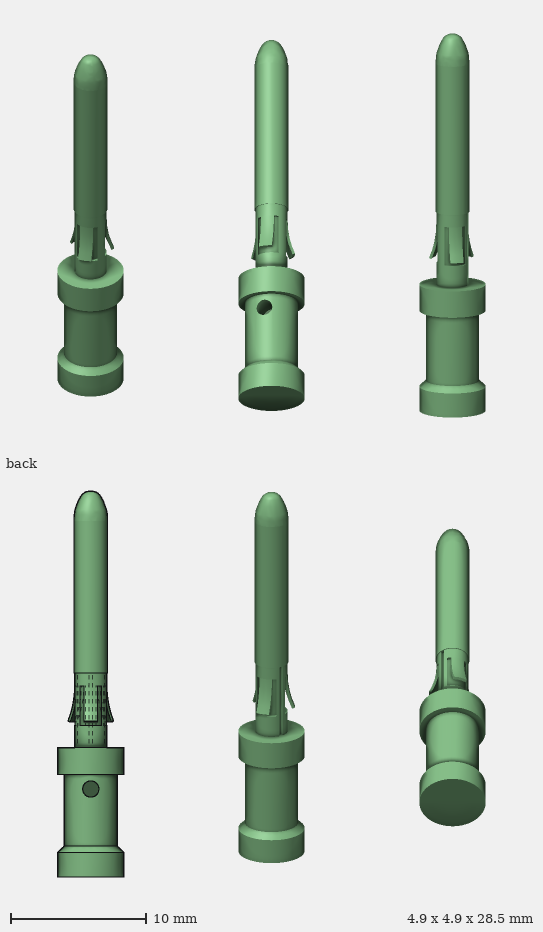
import cadquery as cq
import math

length = 28.5
collar_radius = 2.45
barrel_radius = 1.97
tip_radius = 1.25
foot_height = 1.82
foot_top = 2.28
flange_bottom = 7.55
flange_top = 9.55
shoulder_height = 15.05
nose_start = 26.28

inspection_diameter = 1.2
inspection_height = 6.5
inspection_depth = barrel_radius

sleeve_radius = 1.2
sleeve_wall = 0.2
neck_radius = sleeve_radius - sleeve_wall
slit_width = 0.28

lance_angles = (90, 210, 330)
lance_width = 1.0
lance_tip_height = 11.5
lance_tip_radius = 1.75
window_width = 1.57
window_bottom = 11.17
window_top = 14.1
bend_depth = window_top - lance_tip_height
bend_reach = lance_tip_radius - sleeve_radius
bend_radius = (bend_depth**2 + bend_reach**2) / (2 * bend_reach)
bend_angle = math.asin(bend_depth / bend_radius)


def make_pin():
    """Turned pin with an elliptical nose and a blind inspection hole."""
    nose_height = length - nose_start
    nose_middle = (
        tip_radius * math.cos(math.pi / 4),
        nose_start + nose_height * math.sin(math.pi / 4),
    )
    body = (
        cq.Workplane("XZ")
        .lineTo(collar_radius, 0)
        .lineTo(collar_radius, foot_height)
        .lineTo(barrel_radius, foot_top)
        .lineTo(barrel_radius, flange_bottom)
        .lineTo(collar_radius, flange_bottom)
        .lineTo(collar_radius, flange_top)
        .lineTo(neck_radius, flange_top)
        .lineTo(neck_radius, shoulder_height)
        .lineTo(tip_radius, shoulder_height)
        .lineTo(tip_radius, nose_start)
        .spline([nose_middle, (0, length)], tangents=[(0, 1), (-1, 0)], includeCurrent=True)
        .close()
        .revolve(360, (0, 0, 0), (0, 1, 0))
    )
    hole = (
        cq.Workplane("XZ", origin=(0, barrel_radius, inspection_height))
        .circle(inspection_diameter / 2)
        .extrude(inspection_depth)
    )
    return body.cut(hole)


def radial_block(width, bottom, top):
    """Block from the axis out along +X past every lance tip."""
    reach = 2 * lance_tip_radius
    return (
        cq.Workplane("XY", origin=(0, 0, bottom))
        .rect(reach, width)
        .extrude(top - bottom)
        .translate((reach / 2, 0, 0))
    )


def bend_point(radius, angle):
    """Point on the lance bend, whose centre lies level with the window top."""
    return (
        sleeve_radius + bend_radius - radius * math.cos(angle),
        window_top - radius * math.sin(angle),
    )


def make_lance():
    """Outward-curving strip along +X that keeps the curvature of the sleeve."""
    inner_bend = bend_radius + sleeve_wall
    shell = (
        cq.Workplane("XZ")
        .moveTo(sleeve_radius, window_top)
        .threePointArc(bend_point(bend_radius, bend_angle / 2), bend_point(bend_radius, bend_angle))
        .lineTo(*bend_point(inner_bend, bend_angle))
        .threePointArc(bend_point(inner_bend, bend_angle / 2), (neck_radius, window_top))
        .close()
        .revolve(360, (0, 0, 0), (0, 1, 0))
    )
    return shell.intersect(radial_block(lance_width, window_bottom, window_top))


def make_sleeve():
    """Tube slit along -Y, with a window and a lance at each lance angle."""
    sleeve = (
        cq.Workplane("XY", origin=(0, 0, flange_top))
        .circle(sleeve_radius)
        .circle(neck_radius)
        .extrude(shoulder_height - flange_top)
    )
    slit = radial_block(slit_width, flange_top, shoulder_height)
    sleeve = sleeve.cut(slit.rotate((0, 0, 0), (0, 0, 1), -90))
    window = radial_block(window_width, window_bottom, window_top)
    lance = make_lance()
    for angle in lance_angles:
        sleeve = sleeve.cut(window.rotate((0, 0, 0), (0, 0, 1), angle))
        sleeve = sleeve.union(lance.rotate((0, 0, 0), (0, 0, 1), angle))
    return sleeve


pin = make_pin()
spring_sleeve = make_sleeve()
result = cq.Compound.makeCompound([pin.val(), *spring_sleeve.vals()])